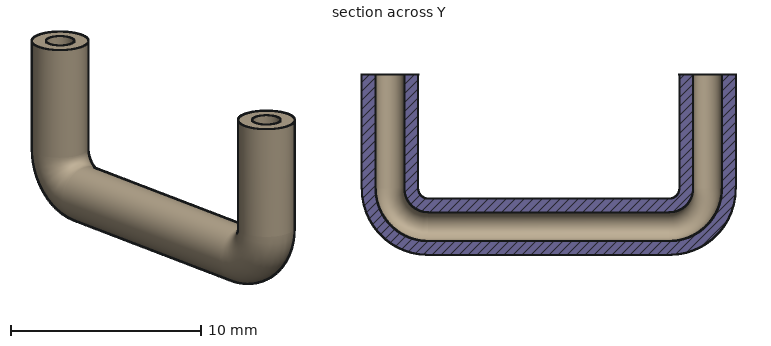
import cadquery as cq

overall_length = 19.68
overall_height = 9.5
tube_diameter = 3.0
bore_diameter = 1.5
bend_radius = 2.0

leg_x = (overall_length - tube_diameter) / 2
bar_z = tube_diameter / 2
bend_x = leg_x - bend_radius
bend_z = bar_z + bend_radius


def make_centreline():
    """U-shaped path: down one leg, along the bar and up the other leg."""
    return (
        cq.Workplane("XZ")
        .moveTo(-leg_x, overall_height)
        .lineTo(-leg_x, bend_z)
        .tangentArcPoint((-bend_x, bar_z), relative=False)
        .lineTo(bend_x, bar_z)
        .tangentArcPoint((leg_x, bend_z), relative=False)
        .lineTo(leg_x, overall_height)
    )


tube_section = (
    cq.Workplane("XY", origin=(-leg_x, 0, overall_height))
    .circle(tube_diameter / 2)
    .circle(bore_diameter / 2)
)
result = tube_section.sweep(make_centreline())